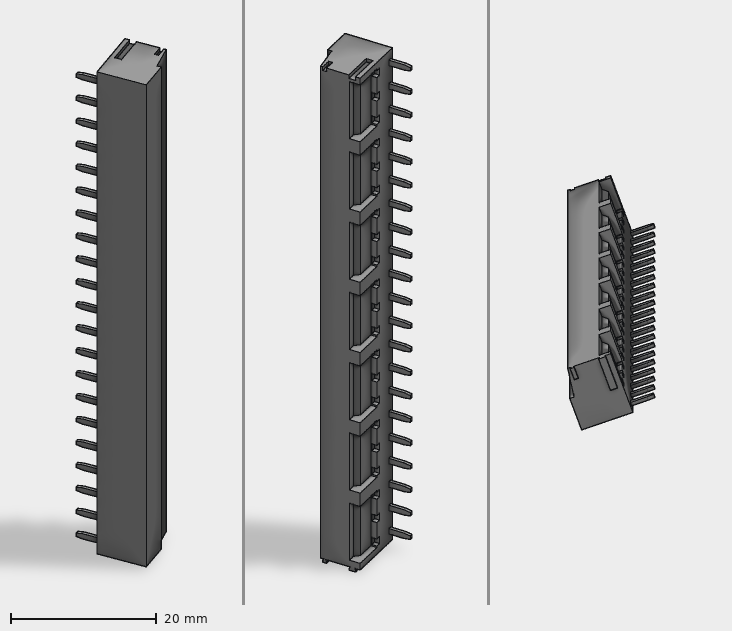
import cadquery as cq
import math

pole_count = 21
poles_per_bay = 3
housing_height = 80.0
pitch = housing_height / pole_count
housing_width = 7.5
housing_depth = 9.0
step_y = 4.8
slope_start_x = 6.85
slope_end_x = 6.3

rib_height = 2.2
bay_front_y = 4.35
bay_shallow_depth = 1.0
bay_deep_depth = 1.7
bay_ramp_start_y = 7.25
bay_ramp_end_y = 7.9
bay_pitch = pitch * poles_per_bay
bay_height = bay_pitch - rib_height

notch_length = 0.7
notch_height = 1.1
notch_depth = 0.8

pin_length = 3.4
pin_width = 0.9
pin_thickness = 0.52
pin_tip_length = 1.0
pin_tip_width = 0.6
pin_y = 0.765

overall_height = 80.6
tab_height = overall_height - housing_height
tab_lip_height = 0.25
tab_root_inset = 0.12
joint_left_x = 0.7
joint_width = 1.05
joint_length = 4.8
small_joint_left_x = 5.3
small_joint_width = 0.605
small_joint_length = 1.7

joints = [
    (joint_left_x, joint_width, joint_length),
    (small_joint_left_x, small_joint_width, small_joint_length),
]

pole_levels = [(pole + 0.5) * pitch for pole in range(pole_count)]


def box_from(x, y, z, size_x, size_y, size_z):
    """Box with its lowest corner at (x, y, z)."""
    return cq.Workplane("XY").box(size_x, size_y, size_z, centered=False).translate((x, y, z))


def make_housing():
    outline = [
        (0, 0),
        (housing_width, 0),
        (housing_width, step_y),
        (slope_start_x, step_y),
        (slope_end_x, housing_depth),
        (0, housing_depth),
    ]
    return cq.Workplane("XY").polyline(outline).close().extrude(housing_height)


def make_bay(bottom_z):
    outline = [
        (0, bay_front_y),
        (bay_shallow_depth, bay_front_y),
        (bay_shallow_depth, bay_ramp_start_y),
        (bay_deep_depth, bay_ramp_end_y),
        (bay_deep_depth, housing_depth),
        (0, housing_depth),
    ]
    return cq.Workplane("XY").workplane(offset=bottom_z).polyline(outline).close().extrude(bay_height)


def make_notch(level):
    return box_from(
        0, bay_front_y - notch_length, level - notch_height / 2,
        notch_depth, notch_length, notch_height,
    )


def make_pin(level):
    """Pin pointing to -X, rooted on the housing side."""
    shoulder_x = pin_tip_length - pin_length
    outline = [
        (0, level - pin_width / 2),
        (0, level + pin_width / 2),
        (shoulder_x, level + pin_width / 2),
        (-pin_length, level + pin_tip_width / 2),
        (-pin_length, level - pin_tip_width / 2),
        (shoulder_x, level - pin_width / 2),
    ]
    pin = cq.Workplane("XZ").polyline(outline).close().extrude(pin_thickness / 2, both=True)
    return pin.translate((0, pin_y, 0))


def make_slot(left_x, width, length):
    return box_from(
        left_x, housing_depth - length, housing_height - tab_height,
        width, length, tab_height,
    )


def make_tab(left_x, width, length):
    """Tab with a straight lip, narrowing to its root on three sides and flush at the back."""
    front_y = housing_depth - length
    lip = box_from(left_x, front_y, -tab_height, width, length, tab_lip_height)
    overhung_length = length + tab_root_inset
    flare_angle = math.degrees(math.atan2(tab_root_inset, tab_height - tab_lip_height))
    root = (
        cq.Workplane("XY")
        .workplane(offset=tab_lip_height - tab_height)
        .center(left_x + width / 2, front_y + overhung_length / 2)
        .rect(width, overhung_length)
        .extrude(tab_height - tab_lip_height, taper=flare_angle)
    )
    overhang = box_from(left_x, housing_depth, -tab_height, width, tab_root_inset, tab_height)
    return lip.union(root.cut(overhang))


result = make_housing()

for bay in range(pole_count // poles_per_bay):
    result = result.cut(make_bay(bay * bay_pitch + rib_height / 2))

for level in pole_levels:
    result = result.cut(make_notch(level))
    result = result.union(make_pin(level))

for left_x, width, length in joints:
    result = result.cut(make_slot(left_x, width, length))
    result = result.union(make_tab(left_x, width, length))